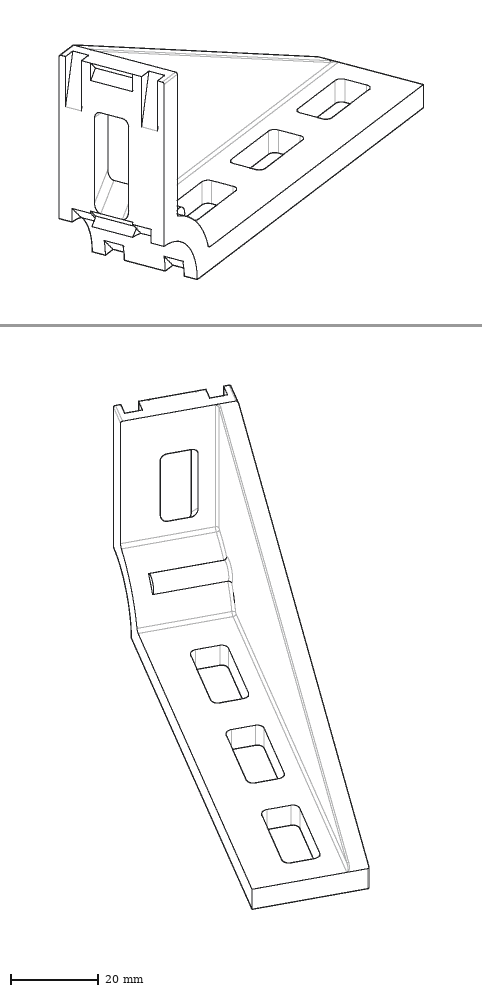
import cadquery as cq
width = 28.0
length = 117.0
height = 57.0

plate = 6.0
gusset = 4.7
mid_x = width / 2

relief_radius = 15.0
web_radius = 21.0

rib_radius = 2.5
rib_end_x = 23.3
rib_centre = web_radius / 2**0.5

web_fillet = 1.0
gusset_fillet = 0.7
outer_fillet = 0.5
gusset_top_fillet = 0.4

slot_width = 9.0
slot_radius = 1.6
base_slot_length = 20.0
base_slot_pitch = 30.1
base_slot_first_y = 40.0
base_slot_count = 3
front_slot_bottom = 19.1
front_slot_top = 44.9

groove_width = 11.1
groove_depth = 2.2
wedge_width = 4.2
wedge_depth = 3.3
wedge_height = 12.9
wedge_offset = 10.12
notch_width = 5.0
notch_offset = 8.0
notch_reach = 18.5

margin = 2.3


def prism(points, centre_x, size_x):
    """Closed (Y, Z) outline extruded along X, centred on centre_x."""
    start = centre_x - size_x / 2
    return cq.Workplane("YZ", origin=(start, 0, 0)).polyline(points).close().extrude(size_x)


def rod(y, z, radius, end_x):
    """Cylinder along X from the outer gusset face."""
    return cq.Workplane("YZ").center(y, z).circle(radius).extrude(end_x)


def mirrored_pair(offset):
    """X positions either side of the middle."""
    return (mid_x - offset, mid_x + offset)


def round_edges(body, points, radius):
    """Fillet the edges whose centres are nearest to the given points."""
    edges = [body.edges(cq.selectors.NearestToPointSelector(point)).val() for point in points]
    return body.newObject(edges).fillet(radius)


def bracket_walls():
    """Plates, web, rib and side wall with rounded inner corners, trimmed to the sloped outline."""
    envelope = cq.Workplane("XY").box(width, length, height, centered=False)
    angle = cq.Workplane("XY").box(width, length, plate, centered=False)
    angle = angle.union(cq.Workplane("XY").box(width, plate, height, centered=False))
    angle = angle.union(rod(0, 0, web_radius, width).intersect(envelope))

    web_edge = (web_radius**2 - plate**2) ** 0.5
    web_corners = [(mid_x, web_edge, plate), (mid_x, plate, web_edge)]
    angle = round_edges(angle, web_corners, web_fillet)

    walls = angle.union(rod(rib_centre, rib_centre, rib_radius, rib_end_x))
    walls = walls.union(cq.Workplane("XY").box(gusset, length, height, centered=False))
    tolerance = 0.01
    junction = cq.selectors.BoxSelector(
        (gusset - tolerance, plate - tolerance, plate - tolerance),
        (gusset + tolerance, length - tolerance, height - tolerance),
    )
    walls = walls.edges(junction).fillet(gusset_fillet)

    outline = [(0, 0), (length, 0), (length, plate), (plate, height), (0, height)]
    return walls.intersect(prism(outline, mid_x, width))


def base_slots():
    """Row of rounded slots through the base plate."""
    slots = cq.Workplane("XY")
    for index in range(base_slot_count):
        y = base_slot_first_y + index * base_slot_pitch
        slot = cq.Workplane("XY").box(slot_width, base_slot_length, plate + margin)
        slots = slots.union(slot.edges("|Z").fillet(slot_radius).translate((mid_x, y, plate / 2)))
    return slots


def front_slot():
    """Rounded slot through the front plate whose floor climbs inwards at 45 degrees."""
    front, back = -margin, plate + margin
    outline = [
        (front, front_slot_bottom + front),
        (back, front_slot_bottom + back),
        (back, front_slot_top),
        (front, front_slot_top),
    ]
    slot = prism(outline, mid_x, slot_width)
    return slot.faces("<X or >X").edges("not (<Y or >Y)").fillet(slot_radius)


def grooves():
    """V grooves across the front face, at the top edge and just below the slot."""
    cutters = cq.Workplane("XY")
    for top in (height, front_slot_bottom):
        outline = [(0, top), (groove_depth, top - groove_depth), (0, top - 2 * groove_depth)]
        cutters = cutters.union(prism(outline, mid_x, groove_width))
    return cutters


def wedges():
    """Tapered pockets in the front face, deepest at the top edge."""
    outline = [(0, height), (wedge_depth, height), (0, height - wedge_height)]
    cutters = cq.Workplane("XY")
    for x in mirrored_pair(wedge_offset):
        cutters = cutters.union(prism(outline, x, wedge_width))
    return cutters


def notches():
    """45 degree notches where the relief meets the front face and the underside."""
    drop = relief_radius / 2
    side = notch_reach - drop
    front_outline = [(0, notch_reach), (side, drop), (0, drop)]
    under_outline = [(z, y) for y, z in front_outline]
    cutters = cq.Workplane("XY")
    for x in mirrored_pair(notch_offset):
        cutters = cutters.union(prism(front_outline, x, notch_width))
        cutters = cutters.union(prism(under_outline, x, notch_width))
    return cutters


outer_edges = [
    (0, plate / 2, height),
    (width, plate / 2, height),
    (0, length, plate / 2),
]
gusset_top_edge = (gusset, (length + plate) / 2, (height + plate) / 2)
result = round_edges(bracket_walls(), outer_edges, outer_fillet)
result = round_edges(result, [gusset_top_edge], gusset_top_fillet)

result = result.cut(rod(0, 0, relief_radius, width))
for cutter in (base_slots(), front_slot(), grooves(), wedges(), notches()):
    result = result.cut(cutter)